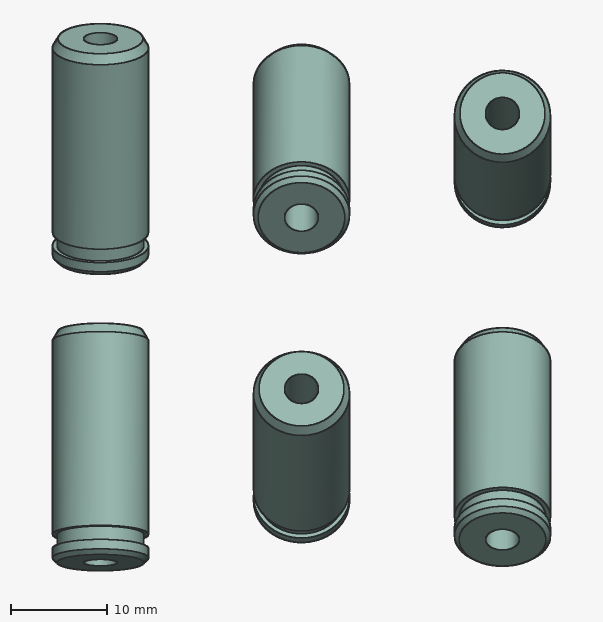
import cadquery as cq
import math

length = 24.5
outer_radius = 10.0 / 2
bore_radius = 3.5 / 2

taper_height = 1.0
taper_angle = 30.0
taper_depth = taper_height * math.tan(math.radians(taper_angle))

bottom_chamfer = 0.5
flange_height = 1.5
groove_width = 1.5
groove_depth = 0.5
groove_radius = outer_radius - groove_depth
groove_top = flange_height + groove_width

section = (
    cq.Workplane("XZ")
    .moveTo(bore_radius, 0)
    .lineTo(outer_radius - bottom_chamfer, 0)
    .lineTo(outer_radius, bottom_chamfer)
    .lineTo(outer_radius, flange_height)
    .lineTo(groove_radius, flange_height)
    .lineTo(groove_radius, groove_top)
    .lineTo(outer_radius, groove_top)
    .lineTo(outer_radius, length - taper_height)
    .lineTo(outer_radius - taper_depth, length)
    .lineTo(bore_radius, length)
    .close()
)

result = section.revolve(360, (0, 0, 0), (0, 1, 0))